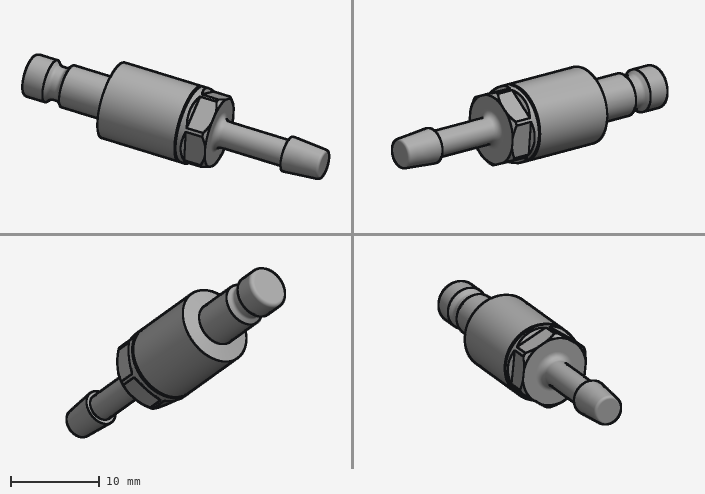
import cadquery as cq
import math

length = 36.55
neck_start = 2.65
neck_end = 4.75
body_start = 9.98
body_edge = 10.38
seam_start = 19.95
seam_width = 0.1
flats_start = 21.05
body_end = 23.55
barb_start = 32.05

plug_diameter = 5.0
neck_diameter = 3.95
body_diameter = 9.0
seam_diameter = 8.77
body_end_diameter = 8.1
tube_diameter = 3.1
barb_diameter = 4.13
barb_tip_diameter = 3.45

tip_fillet = 0.48
neck_fillet = 0.5
neck_slope_angle = 45.0
tube_fillet = 0.8
barb_land = 0.22
barb_tip_fillet = 0.33

flat_count = 6
across_flats = 8.0
first_flat_angle = 54.0
flat_ramp_angle = 57.0


def cylinder(start, end, diameter):
    """Cylinder along X between two stations."""
    return cq.Workplane("YZ", origin=(start, 0, 0)).circle(diameter / 2).extrude(end - start)


def revolve_outline(points):
    """Revolve a closed (x, radius) outline around the X axis."""
    return cq.Workplane("XY").polyline(points).close().revolve(360, (0, 0, 0), (1, 0, 0))


def make_plug():
    """Rounded plug with a sloped locking neck blended into its floor."""
    plug_radius = plug_diameter / 2
    neck_radius = neck_diameter / 2
    half_slope = math.radians(neck_slope_angle) / 2
    slope_run = (plug_radius - neck_radius) / math.tan(2 * half_slope)
    blend_length = neck_fillet * math.tan(half_slope)
    blend_run = blend_length * math.cos(2 * half_slope)
    blend_rise = blend_length * math.sin(2 * half_slope)
    blend_middle_run = neck_fillet * math.sin(half_slope)
    blend_middle_rise = neck_fillet * (1 - math.cos(half_slope))
    floor_start = neck_start + slope_run
    floor_end = neck_end - slope_run
    flat_start = floor_start + blend_length
    flat_end = floor_end - blend_length
    blend_middle_radius = neck_radius + blend_middle_rise
    outline = (
        cq.Workplane("XY")
        .moveTo(0, 0)
        .lineTo(0, plug_radius - tip_fillet)
        .radiusArc((tip_fillet, plug_radius), tip_fillet)
        .lineTo(neck_start, plug_radius)
        .lineTo(floor_start - blend_run, neck_radius + blend_rise)
        .threePointArc((flat_start - blend_middle_run, blend_middle_radius), (flat_start, neck_radius))
        .lineTo(flat_end, neck_radius)
        .threePointArc(
            (flat_end + blend_middle_run, blend_middle_radius),
            (floor_end + blend_run, neck_radius + blend_rise),
        )
        .lineTo(neck_end, plug_radius)
        .lineTo(body_edge, plug_radius)
        .lineTo(body_edge, 0)
        .close()
    )
    return outline.revolve(360, (0, 0, 0), (1, 0, 0))


def make_body():
    """Body with a shallow conical front, a fine seam and a chamfered rear edge."""
    body_radius = body_diameter / 2
    rear_radius = body_end_diameter / 2
    body = revolve_outline([
        (body_start, 0),
        (body_start, plug_diameter / 2),
        (body_edge, body_radius),
        (body_end - (body_radius - rear_radius), body_radius),
        (body_end, rear_radius),
        (body_end, 0),
    ])
    seam_end = seam_start + seam_width
    seam = cylinder(seam_start, seam_end, body_diameter).cut(
        cylinder(seam_start, seam_end, seam_diameter)
    )
    return body.cut(seam)


def make_flat_cutter():
    """Material above one wrench flat, with a sloping front wall."""
    flat_height = across_flats / 2
    clear_height = body_diameter
    ramp_run = (clear_height - flat_height) / math.tan(math.radians(flat_ramp_angle))
    return (
        cq.Workplane("XZ")
        .polyline([
            (flats_start, flat_height),
            (flats_start - ramp_run, clear_height),
            (body_end, clear_height),
            (body_end, flat_height),
        ])
        .close()
        .extrude(body_diameter / 2, both=True)
    )


def make_hose_tail():
    """Tube flaring into the body, ending in a tapered hose barb."""
    tube_radius = tube_diameter / 2
    tube = (
        cq.Workplane("XY")
        .moveTo(body_end, 0)
        .lineTo(body_end, tube_radius + tube_fillet)
        .radiusArc((body_end + tube_fillet, tube_radius), -tube_fillet)
        .lineTo(barb_start, tube_radius)
        .lineTo(barb_start, 0)
        .close()
        .revolve(360, (0, 0, 0), (1, 0, 0))
    )
    barb = revolve_outline([
        (barb_start, 0),
        (barb_start, barb_diameter / 2),
        (barb_start + barb_land, barb_diameter / 2),
        (length, barb_tip_diameter / 2),
        (length, 0),
    ])
    return tube.union(barb.faces(">X").edges().fillet(barb_tip_fillet))


body = make_body()
flat_cutter = make_flat_cutter()
for index in range(flat_count):
    turn = first_flat_angle - 90 + index * 360 / flat_count
    body = body.cut(flat_cutter.rotate((0, 0, 0), (1, 0, 0), turn))

result = make_plug().union(body).union(make_hose_tail())